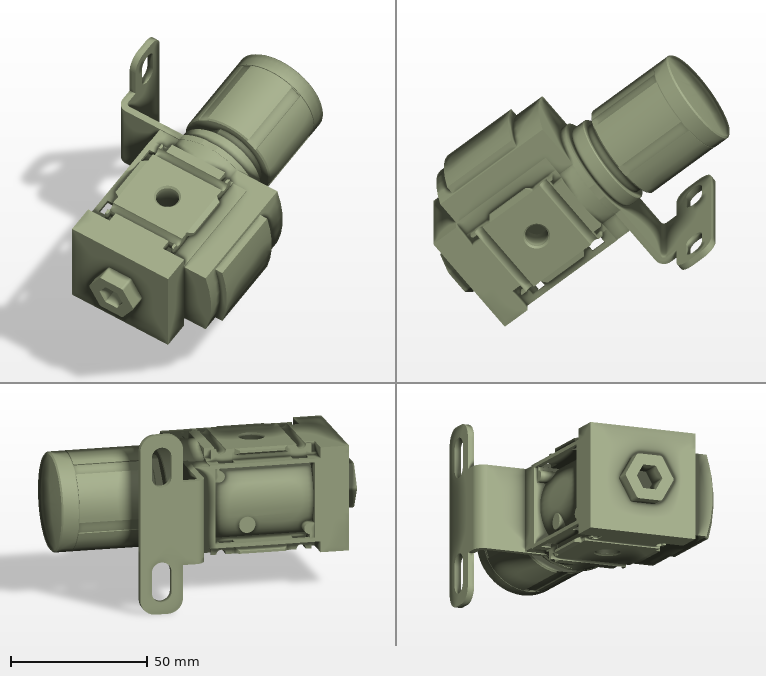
import cadquery as cq
import math


BODY_HALF_X = 42.2 / 2
BODY_HALF_Z = 20.0
FRAME_HALF_Z = 15.8
FLANGE_HALF_Z = 15.5
FOOT_LENGTH = 10.7
FLANGE_START = 52.5
FLANGE_END = 58.7

PLUG_LENGTH = 5.9
PLUG_FLATS = 17.0
PLUG_EDGE_RADIUS = 1.2
SOCKET_FLATS = 8.9
SOCKET_DEPTH = 9.2
HEX_CORNERS = 2 / math.sqrt(3)

WINDOW_START = 12.8
WINDOW_END = 50.5
WINDOW_HALF_Z = 14.4
DRUM_DIAMETER = 37.2
PEG_DIAMETER = 6.1
PEG_Y = 37.7
PEG_Z = -8.5
PEG_FACE_X = -18.0
LUG_FACE_X = -20.0
LUG_RADIUS = 2.1
LUG_STRAIGHT = 1.7
LUG_Z = 11.0

PLATE_HALF_X = 15.1
PLATE_START = 14.8
PLATE_END = 48.6
PLATE_CENTER_Y = (PLATE_START + PLATE_END) / 2
TONGUE_HALF_X = 11.7
PLATE_GROOVE_RADIUS = 3.6 / 2
PLATE_FOOT_LENGTH = 5.9
PLATE_SIDE_RELIEF = 0.1
WING_REACH = 2.1
WING_ROOT_HALF_LENGTH = 10.0
WING_TIP_HALF_LENGTH = 8.5
WING_ROOT_BOTTOM = 17.5
WING_TIP_BOTTOM = 18.7
WING_TIP_TOP = 19.6
HOOK_WIDTH = 1.0
HOOK_INSET = 0.1
HOOK_FILLET = 0.8
HOOK_LENGTH = 2.1
CORNER_PAD_HEIGHT = 0.6
PORT_DIAMETER = 8.5
PORT_MOUTH_DIAMETER = 9.9
PORT_DEPTH = 11.5
WALL_HOLE_WIDTH = 3.9

GAUGE_HALF_Z = 15.5
GAUGE_EDGE_X = 30.5
GAUGE_CROWN_X = 32.9
PANEL_HALF_Z = 14.5
PANEL_HALF_LENGTH = 15.0
PANEL_THICKNESS = 3.0

BOSS_DIAMETER = 31.6
NECK_DIAMETER = 30.0
NECK_FLAT_DISTANCE = 12.5
NECK_FLAT_TURN = -135
RING_DIAMETER = 35.0
RING_FILLET = 1.6
RING_END = 67.7
RING_CHAMFER = 0.3

KNOB_DIAMETER = 37.2
KNOB_START = 71.6
KNOB_CHAMFER = 0.6
CAP_START = 101.5
CAP_EDGE = 107.9
KNOB_CROWN = 115.5 - PLUG_LENGTH
SEAM_WIDTH = 0.3
FLUTE_COUNT = 5
FLUTE_WIDTH = 4.6
FLUTE_FLOOR = 17.9

SHEET = 2.5
BRACKET_X = -40.1
BRACKET_HALF_Z = 15.8
BRACKET_HOLE_DIAMETER = 32.0
BRACKET_DISC_RADIUS = 20.1
BRACKET_FLAT_HALF_Z = 19.9
BEND_OUTER_RADIUS = 4.0
EAR_START = 67.5
EAR_END = 83.6
EAR_HALF_Z = 68.0 / 2
EAR_CORNER_RADIUS = 5.8
SLOT_WIDTH = 7.4
SLOT_INNER_Z = 14.3
SLOT_OUTER_Z = 29.5

BRACKET_END = FLANGE_END + SHEET


def box(x_range, y_range, z_range):
    """Block between the given limits on each axis."""
    size = [high - low for low, high in (x_range, y_range, z_range)]
    corner = (x_range[0], y_range[0], z_range[0])
    return cq.Workplane("XY").box(*size, centered=False).translate(corner)


def cylinder_y(diameter, start, end):
    """Cylinder on the knob axis from Y = start to Y = end."""
    return section_y(start).circle(diameter / 2).extrude(end - start)


def section_y(y):
    """Plane across the knob axis: local axes are X and Z, extrusion goes toward +Y."""
    return cq.Workplane(cq.Plane(origin=(0, y, 0), xDir=(1, 0, 0), normal=(0, 1, 0)))


def plane_x(x):
    """Plane across X: local axes are Y and Z, extrusion goes toward +X."""
    return cq.Workplane(cq.Plane(origin=(x, 0, 0), xDir=(0, 1, 0), normal=(1, 0, 0)))


def make_core():
    """Foot block, frame, flange and the round shoulder under the bracket."""
    across = (-BODY_HALF_X, BODY_HALF_X)
    foot = box(across, (0, FOOT_LENGTH), (-BODY_HALF_Z, BODY_HALF_Z))
    frame = box(across, (FOOT_LENGTH, FLANGE_START), (-FRAME_HALF_Z, FRAME_HALF_Z))
    flange = box(across, (FLANGE_START, FLANGE_END), (-FLANGE_HALF_Z, FLANGE_HALF_Z))
    shoulder = cylinder_y(2 * BODY_HALF_Z, FLANGE_START, FLANGE_END)
    return foot.union(frame).union(flange).union(shoulder)


def make_plug():
    """Hexagonal plug standing out toward -Y."""
    plug = section_y(-PLUG_LENGTH).polygon(6, PLUG_FLATS * HEX_CORNERS).extrude(PLUG_LENGTH)
    return plug.edges("|Y").fillet(PLUG_EDGE_RADIUS)


def make_socket():
    """Hexagonal space sunk into the plug."""
    return section_y(-PLUG_LENGTH).polygon(6, SOCKET_FLATS * HEX_CORNERS).extrude(SOCKET_DEPTH)


def make_window():
    """Space between the window opening and the drum."""
    opening = box(
        (-BODY_HALF_X, 0),
        (WINDOW_START, WINDOW_END),
        (-WINDOW_HALF_Z, WINDOW_HALF_Z),
    )
    return opening.cut(cylinder_y(DRUM_DIAMETER, WINDOW_START, WINDOW_END))


def make_corner_lug():
    """Round-ended lug in the window corner at +Y, +Z."""
    round_y = WINDOW_END - LUG_STRAIGHT
    block = box(
        (LUG_FACE_X, 0),
        (round_y, WINDOW_END),
        (LUG_Z - LUG_RADIUS, WINDOW_HALF_Z),
    )
    nose = plane_x(LUG_FACE_X).center(round_y, LUG_Z).circle(LUG_RADIUS).extrude(-LUG_FACE_X)
    return block.union(nose)


def make_window_studs():
    """Peg on the drum and the lugs in two opposite window corners."""
    peg = plane_x(PEG_FACE_X).center(PEG_Y, PEG_Z).circle(PEG_DIAMETER / 2).extrude(-PEG_FACE_X)
    lug = make_corner_lug()
    window_middle = (WINDOW_START + WINDOW_END) / 2
    opposite_lug = lug.rotate((0, window_middle, 0), (1, window_middle, 0), 180)
    return peg.union(lug).union(opposite_lug)


def make_wing():
    """Tapered wing standing out from the -X side of the port plate."""
    root_height = BODY_HALF_Z - WING_ROOT_BOTTOM
    tip_height = WING_TIP_TOP - WING_TIP_BOTTOM
    root_z = (BODY_HALF_Z + WING_ROOT_BOTTOM) / 2
    tip_z = (WING_TIP_TOP + WING_TIP_BOTTOM) / 2
    root_x = -PLATE_HALF_X + PLATE_SIDE_RELIEF
    return (
        plane_x(root_x)
        .center(PLATE_CENTER_Y, root_z)
        .rect(2 * WING_ROOT_HALF_LENGTH, root_height)
        .workplane(offset=-WING_REACH - PLATE_SIDE_RELIEF)
        .center(0, tip_z - root_z)
        .rect(2 * WING_TIP_HALF_LENGTH, tip_height)
        .loft()
    )


def make_port_plate():
    """Plate on the +Z side with its tongue, corner pads, hooks, side wings and grooves."""
    height = (FRAME_HALF_Z, BODY_HALF_Z)
    plate = box((-PLATE_HALF_X, PLATE_HALF_X), (PLATE_START, PLATE_END), height)
    tongue = box((-TONGUE_HALF_X, TONGUE_HALF_X), (FOOT_LENGTH, FLANGE_START), height)
    plate = plate.union(tongue)

    relief_length = (PLATE_START + PLATE_FOOT_LENGTH, PLATE_END - PLATE_FOOT_LENGTH)
    relief = box((-PLATE_HALF_X, -PLATE_HALF_X + PLATE_SIDE_RELIEF), relief_length, height)
    plate = plate.cut(relief).cut(relief.mirror("YZ"))

    pad_height = (FRAME_HALF_Z, FRAME_HALF_Z + CORNER_PAD_HEIGHT)
    for pad_y in ((FOOT_LENGTH, PLATE_START), (PLATE_END, FLANGE_START)):
        plate = plate.union(box((-PLATE_HALF_X, PLATE_HALF_X), pad_y, pad_height))

    hook_x = (-PLATE_HALF_X + HOOK_INSET, -PLATE_HALF_X + HOOK_INSET + HOOK_WIDTH)
    start_hook = box(hook_x, (PLATE_START - HOOK_LENGTH, PLATE_START), height)
    end_hook = box(hook_x, (PLATE_END, PLATE_END + HOOK_LENGTH), height)
    start_hook = start_hook.edges("|Z and >X and <Y").fillet(HOOK_FILLET)
    end_hook = end_hook.edges("|Z and >X and >Y").fillet(HOOK_FILLET)
    for hook in (start_hook, end_hook):
        plate = plate.union(hook).union(hook.mirror("YZ"))

    wing = make_wing()
    plate = plate.union(wing).union(wing.mirror("YZ"))

    for groove_y in (PLATE_START + PLATE_GROOVE_RADIUS, PLATE_END - PLATE_GROOVE_RADIUS):
        groove = (
            plane_x(-PLATE_HALF_X)
            .center(groove_y, BODY_HALF_Z)
            .circle(PLATE_GROOVE_RADIUS)
            .extrude(2 * PLATE_HALF_X)
        )
        plate = plate.cut(groove)
    return plate


def make_side_cuts():
    """Port and wall holes on the +Z side."""
    mouth_depth = (PORT_MOUTH_DIAMETER - PORT_DIAMETER) / 2
    surface = cq.Workplane("XY").workplane(offset=BODY_HALF_Z).center(0, PLATE_CENTER_Y)
    port = surface.circle(PORT_DIAMETER / 2).extrude(-PORT_DEPTH)
    mouth = (
        surface.circle(PORT_MOUTH_DIAMETER / 2)
        .workplane(offset=-mouth_depth)
        .circle(PORT_DIAMETER / 2)
        .loft()
    )
    cuts = port.union(mouth)
    hole_x = (-PLATE_HALF_X - WALL_HOLE_WIDTH, -PLATE_HALF_X)
    for hole_start in (PLATE_START, PLATE_END - PLATE_FOOT_LENGTH):
        hole_y = (hole_start, hole_start + PLATE_FOOT_LENGTH)
        cuts = cuts.union(box(hole_x, hole_y, (WINDOW_HALF_Z, FRAME_HALF_Z)))
    return cuts


def make_neck():
    """Boss through the bracket, clamping ring and the neck that carries the knob."""
    boss = cylinder_y(BOSS_DIAMETER, FLANGE_END, BRACKET_END)
    ring = cylinder_y(RING_DIAMETER, BRACKET_END, RING_END)
    ring = ring.faces(">Y").chamfer(RING_CHAMFER)
    ring = ring.faces("<Y").edges().fillet(RING_FILLET)
    neck = cylinder_y(NECK_DIAMETER, RING_END, KNOB_START)
    flat_cut = box(
        (NECK_FLAT_DISTANCE, NECK_DIAMETER),
        (RING_END, KNOB_START),
        (-NECK_DIAMETER, NECK_DIAMETER),
    ).rotate((0, 0, 0), (0, 1, 0), NECK_FLAT_TURN)
    return boss.union(ring).union(neck.cut(flat_cut))


def make_housing():
    """Housing with its plug, ports and window."""
    housing = make_core().union(make_plug()).cut(make_socket())
    housing = housing.cut(make_window()).union(make_window_studs())
    plate = make_port_plate()
    cuts = make_side_cuts()
    housing = housing.union(plate).union(plate.mirror("XY"))
    return housing.cut(cuts).cut(cuts.mirror("XY"))


def make_knob():
    """Fluted knob with a domed cap."""
    radius = KNOB_DIAMETER / 2
    seam_radius = radius - SEAM_WIDTH
    cap_radius = radius - KNOB_CHAMFER
    dome_rise = KNOB_CROWN - CAP_EDGE
    dome_radius = (cap_radius**2 + dome_rise**2) / (2 * dome_rise)
    mid_radius = cap_radius / 2
    mid_y = KNOB_CROWN - dome_radius + math.sqrt(dome_radius**2 - mid_radius**2)
    knob = (
        cq.Workplane("XY")
        .moveTo(0, KNOB_START)
        .lineTo(radius - KNOB_CHAMFER, KNOB_START)
        .lineTo(radius, KNOB_START + KNOB_CHAMFER)
        .lineTo(radius, CAP_START - SEAM_WIDTH)
        .lineTo(seam_radius, CAP_START - SEAM_WIDTH)
        .lineTo(seam_radius, CAP_START)
        .lineTo(radius, CAP_START)
        .lineTo(radius, CAP_EDGE - KNOB_CHAMFER)
        .lineTo(cap_radius, CAP_EDGE)
        .threePointArc((mid_radius, mid_y), (0, KNOB_CROWN))
        .close()
        .revolve(360, (0, 0, 0), (0, 1, 0))
    )
    flute = box(
        (-FLUTE_WIDTH / 2, FLUTE_WIDTH / 2),
        (KNOB_START, CAP_START - SEAM_WIDTH),
        (-KNOB_DIAMETER, -FLUTE_FLOOR),
    )
    for index in range(FLUTE_COUNT):
        knob = knob.cut(flute.rotate((0, 0, 0), (0, 1, 0), index * 360 / FLUTE_COUNT))
    return knob


def make_regulator():
    """Housing, neck and knob in one solid."""
    return make_housing().union(make_neck()).union(make_knob())


def make_gauge():
    """Gauge block with a cylindrical face and a raised panel that follows it."""
    rise = GAUGE_CROWN_X - GAUGE_EDGE_X
    face_radius = (GAUGE_HALF_Z**2 + rise**2) / (2 * rise)
    block = (
        section_y(FOOT_LENGTH)
        .moveTo(BODY_HALF_X, -GAUGE_HALF_Z)
        .lineTo(GAUGE_EDGE_X, -GAUGE_HALF_Z)
        .threePointArc((GAUGE_CROWN_X, 0), (GAUGE_EDGE_X, GAUGE_HALF_Z))
        .lineTo(BODY_HALF_X, GAUGE_HALF_Z)
        .close()
        .extrude(FLANGE_END - FOOT_LENGTH)
    )
    panel_crown_x = GAUGE_CROWN_X + PANEL_THICKNESS
    panel_start = PLATE_CENTER_Y - PANEL_HALF_LENGTH
    panel_end = PLATE_CENTER_Y + PANEL_HALF_LENGTH
    panel = box(
        (BODY_HALF_X, panel_crown_x),
        (panel_start, panel_end),
        (-PANEL_HALF_Z, PANEL_HALF_Z),
    )
    panel_face = (
        cylinder_y(2 * (face_radius + PANEL_THICKNESS), panel_start, panel_end)
        .translate((GAUGE_CROWN_X - face_radius, 0, 0))
    )
    return block.union(panel.intersect(panel_face))


def make_bracket():
    """Bent sheet: a plate around the boss and a slotted ear plate at -X."""
    bend_inner_radius = BEND_OUTER_RADIUS - SHEET
    inner_x = BRACKET_X + SHEET
    inner_corner = (inner_x + bend_inner_radius, BRACKET_END + bend_inner_radius)
    diagonal = math.sqrt(0.5)
    outer_mid = [c - BEND_OUTER_RADIUS * diagonal for c in inner_corner]
    inner_mid = [c - bend_inner_radius * diagonal for c in inner_corner]
    strip = (
        cq.Workplane("XY")
        .moveTo(0, FLANGE_END)
        .lineTo(inner_corner[0], FLANGE_END)
        .threePointArc(outer_mid, (BRACKET_X, inner_corner[1]))
        .lineTo(BRACKET_X, EAR_END)
        .lineTo(inner_x, EAR_END)
        .lineTo(inner_x, inner_corner[1])
        .threePointArc(inner_mid, (inner_corner[0], BRACKET_END))
        .lineTo(0, BRACKET_END)
        .close()
        .extrude(BRACKET_HALF_Z, both=True)
    )
    disc = cylinder_y(2 * BRACKET_DISC_RADIUS, FLANGE_END, BRACKET_END)
    disc = disc.intersect(
        box(
            (-BRACKET_DISC_RADIUS, BRACKET_DISC_RADIUS),
            (FLANGE_END, BRACKET_END),
            (-BRACKET_FLAT_HALF_Z, BRACKET_FLAT_HALF_Z),
        )
    )
    ears = box((BRACKET_X, inner_x), (EAR_START, EAR_END), (-EAR_HALF_Z, EAR_HALF_Z))
    bracket = strip.union(ears.edges("|X").fillet(EAR_CORNER_RADIUS)).union(disc)

    slot_z = (SLOT_INNER_Z + SLOT_OUTER_Z) / 2
    slots = (
        plane_x(BRACKET_X)
        .pushPoints([((EAR_START + EAR_END) / 2, side * slot_z) for side in (-1, 1)])
        .slot2D(SLOT_OUTER_Z - SLOT_INNER_Z, SLOT_WIDTH, 90)
        .extrude(SHEET)
    )
    return bracket.cut(slots).cut(cylinder_y(BRACKET_HOLE_DIAMETER, FLANGE_END, BRACKET_END))


regulator = make_regulator()
gauge = make_gauge()
bracket = make_bracket()

result = cq.Compound.makeCompound([body.solids().val() for body in (regulator, gauge, bracket)])